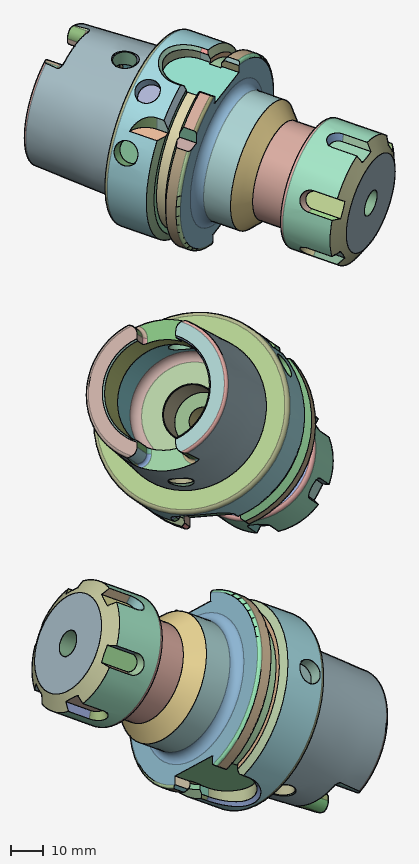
import cadquery as cq
import math


SHANK_LENGTH = 32.0
SHANK_END_RADIUS = 22.74
SHANK_BASE_RADIUS = 24.3
SHANK_END_ROUND = 1.0

FLANGE_RADIUS = 31.51
FLANGE_WIDTH = 25.8
FLANGE_END_X = SHANK_LENGTH + FLANGE_WIDTH
FLANGE_FRONT_ROUND = 1.3
FLANGE_BACK_ROUND = 1.0
GROOVE_RADIUS = 27.5
GROOVE_START_X = 48.0
GROOVE_END_X = 51.9
GROOVE_BEVEL_WIDTH = 1.4
GROOVE_BEVEL_DEPTH = GROOVE_BEVEL_WIDTH * math.tan(math.radians(60))

COLLAR_RADIUS = 21.03
COLLAR_FILLET = 3.0
COLLAR_END_X = 70.0
NECK_RADIUS = 16
NECK_START_X = COLLAR_END_X + COLLAR_RADIUS - NECK_RADIUS

NUT_START_X = 86.6
NUT_END_X = 107
NUT_RADIUS = 21.03
NUT_FACE_RADIUS = 16
NUT_ROUND = 1.3
NUT_CONE_LENGTH = 3.0
NUT_SLOT_COUNT = 6
NUT_SLOT_FLOOR_HALF_WIDTH = 2.8
NUT_SLOT_ARC_X = 95.9
NUT_SLOT_FLOOR_RADIUS = 18.2
NUT_SLOT_DRAFT = 15

BORE_RADIUS = 16.8
BORE_CHAMFER = 0.5
UNDERCUT_START_X = 12.6
UNDERCUT_RADIUS = 18.5
BORE_FLOOR_X = SHANK_LENGTH
BORE_FLOOR_FILLET = UNDERCUT_RADIUS - 15.7
COUNTERBORE_RADIUS = 8.8
COUNTERBORE_DEPTH = 10.7
COUNTERBORE_CHAMFER = 0.2
THROUGH_RADIUS = 4.2

TOP_SLOT_DEPTH = 6.2
BOTTOM_SLOT_DEPTH = 10.1
SLOT_HALF_WIDTH = 6.2
SLOT_EDGE_ROUND = 3.0
SLOT_STRAIGHT_TOP = 17.7
SLOT_SHOULDER_HEIGHT = SLOT_STRAIGHT_TOP + SLOT_EDGE_ROUND
SLOT_FLARE_HALF_WIDTH = 12.8
SLOT_FLOOR_FILLET = 1.2

CROSS_HOLE_X = 22.9
CROSS_HOLE_RADIUS = 3.7
CROSS_HOLE_SINK_RADIUS = 4.3
CROSS_HOLE_SINK_HEIGHT = 23.9

TOP_POCKET_FLOOR_HEIGHT = 26.5
TOP_POCKET_HALF_WIDTH = 7.9
BOTTOM_POCKET_FLOOR_HEIGHT = 26.1
BOTTOM_POCKET_HALF_WIDTH = 9.0
POCKET_ARC_X = 44.6
POCKET_CHAMFER = 1.2

NOTCH_OFFSET = 19.85
NOTCH_CUTTER_RADIUS = 7.5
NOTCH_ARC_X = 44.2

RIM_HOLE_X = 38.0
RIM_HOLE_RADIUS = 4.0
RIM_HOLE_DEPTH = 4.3
RIM_HOLE_ANGLES = (116.5, 153.5, 0)

OVERSHOOT = 5.4
CROSS_HOLE_OVERSHOOT = 1.1
TOLERANCE = 0.01


def cylinder_x(radius, start_x, end_x):
    return cq.Workplane("YZ", origin=(start_x, 0, 0)).circle(radius).extrude(end_x - start_x)


def about_x(shape, angle):
    return shape.rotate((0, 0, 0), (1, 0, 0), angle)


def round_rim(body, x, radius, size):
    """Rounds the circular edges of the given radius that lie at x."""
    edges = [
        edge for edge in body.edges("%CIRCLE").vals()
        if abs(edge.Center().x - x) < TOLERANCE and abs(edge.radius() - radius) < TOLERANCE
    ]
    return body.newObject(edges).fillet(size)


def holder_blank():
    rim_low_radius = FLANGE_RADIUS - GROOVE_BEVEL_DEPTH
    collar_start_x = FLANGE_END_X + COLLAR_FILLET
    fillet_mid = COLLAR_FILLET * (1 - math.sqrt(0.5))
    profile = (
        cq.Workplane("XY")
        .lineTo(0, SHANK_END_RADIUS)
        .lineTo(SHANK_LENGTH, SHANK_BASE_RADIUS)
        .lineTo(SHANK_LENGTH, FLANGE_RADIUS)
        .lineTo(GROOVE_START_X - GROOVE_BEVEL_WIDTH, FLANGE_RADIUS)
        .lineTo(GROOVE_START_X, rim_low_radius)
        .lineTo(GROOVE_START_X, GROOVE_RADIUS)
        .lineTo(GROOVE_END_X, GROOVE_RADIUS)
        .lineTo(GROOVE_END_X, rim_low_radius)
        .lineTo(GROOVE_END_X + GROOVE_BEVEL_WIDTH, FLANGE_RADIUS)
        .lineTo(FLANGE_END_X, FLANGE_RADIUS)
        .lineTo(FLANGE_END_X, COLLAR_RADIUS + COLLAR_FILLET)
        .threePointArc(
            (FLANGE_END_X + fillet_mid, COLLAR_RADIUS + fillet_mid),
            (collar_start_x, COLLAR_RADIUS),
        )
        .lineTo(COLLAR_END_X, COLLAR_RADIUS)
        .lineTo(NECK_START_X, NECK_RADIUS)
        .lineTo(NUT_START_X, NECK_RADIUS)
        .lineTo(NUT_START_X, 0)
        .close()
    )
    blank = profile.revolve(360, (0, 0, 0), (1, 0, 0))
    blank = round_rim(blank, 0, SHANK_END_RADIUS, SHANK_END_ROUND)
    blank = round_rim(blank, SHANK_LENGTH, FLANGE_RADIUS, FLANGE_FRONT_ROUND)
    return round_rim(blank, FLANGE_END_X, FLANGE_RADIUS, FLANGE_BACK_ROUND)


def axial_bore():
    fillet_start_x = BORE_FLOOR_X - BORE_FLOOR_FILLET
    fillet_mid = BORE_FLOOR_FILLET * math.sqrt(0.5)
    counterbore_end_x = BORE_FLOOR_X + COUNTERBORE_DEPTH
    profile = (
        cq.Workplane("XY")
        .lineTo(0, BORE_RADIUS + BORE_CHAMFER)
        .lineTo(BORE_CHAMFER, BORE_RADIUS)
        .lineTo(UNDERCUT_START_X, BORE_RADIUS)
        .lineTo(UNDERCUT_START_X, UNDERCUT_RADIUS)
        .lineTo(fillet_start_x, UNDERCUT_RADIUS)
        .threePointArc(
            (fillet_start_x + fillet_mid, UNDERCUT_RADIUS - BORE_FLOOR_FILLET + fillet_mid),
            (BORE_FLOOR_X, UNDERCUT_RADIUS - BORE_FLOOR_FILLET),
        )
        .lineTo(BORE_FLOOR_X, COUNTERBORE_RADIUS + COUNTERBORE_CHAMFER)
        .lineTo(BORE_FLOOR_X + COUNTERBORE_CHAMFER, COUNTERBORE_RADIUS)
        .lineTo(counterbore_end_x, COUNTERBORE_RADIUS)
        .lineTo(counterbore_end_x, THROUGH_RADIUS)
        .lineTo(NUT_START_X, THROUGH_RADIUS)
        .lineTo(NUT_START_X, 0)
        .close()
    )
    return profile.revolve(360, (0, 0, 0), (1, 0, 0))


def drive_slot(depth):
    """Slot on the +Z side whose walls curve outwards above the bore, with a filleted floor."""
    arc_y = SLOT_HALF_WIDTH + SLOT_EDGE_ROUND
    arc_mid_y = arc_y - SLOT_EDGE_ROUND * math.sqrt(0.5)
    arc_mid_z = SLOT_STRAIGHT_TOP + SLOT_EDGE_ROUND * math.sqrt(0.5)
    outer_z = SHANK_BASE_RADIUS + OVERSHOOT
    profile = (
        cq.Workplane("YZ")
        .moveTo(-SLOT_HALF_WIDTH, 0)
        .lineTo(-SLOT_HALF_WIDTH, SLOT_STRAIGHT_TOP)
        .threePointArc((-arc_mid_y, arc_mid_z), (-arc_y, SLOT_SHOULDER_HEIGHT))
        .lineTo(-SLOT_FLARE_HALF_WIDTH, SLOT_SHOULDER_HEIGHT)
        .lineTo(-SLOT_FLARE_HALF_WIDTH, outer_z)
        .lineTo(SLOT_FLARE_HALF_WIDTH, outer_z)
        .lineTo(SLOT_FLARE_HALF_WIDTH, SLOT_SHOULDER_HEIGHT)
        .lineTo(arc_y, SLOT_SHOULDER_HEIGHT)
        .threePointArc((arc_mid_y, arc_mid_z), (SLOT_HALF_WIDTH, SLOT_STRAIGHT_TOP))
        .lineTo(SLOT_HALF_WIDTH, 0)
        .close()
    )
    slot = profile.extrude(depth)
    wall_edges = slot.faces(">X").edges("(not <Z) and (not >Z) and (not <Y) and (not >Y)")
    return wall_edges.fillet(SLOT_FLOOR_FILLET)


def cross_hole():
    """Hole along Z through both shank walls, widening at the shank surface."""
    sink_z = CROSS_HOLE_SINK_HEIGHT - (CROSS_HOLE_SINK_RADIUS - CROSS_HOLE_RADIUS)
    outer_z = SHANK_BASE_RADIUS + CROSS_HOLE_OVERSHOOT
    outer_radius = CROSS_HOLE_RADIUS + outer_z - sink_z
    profile = (
        cq.Workplane("XZ", origin=(CROSS_HOLE_X, 0, 0))
        .moveTo(0, -outer_z)
        .lineTo(outer_radius, -outer_z)
        .lineTo(CROSS_HOLE_RADIUS, -sink_z)
        .lineTo(CROSS_HOLE_RADIUS, sink_z)
        .lineTo(outer_radius, outer_z)
        .lineTo(0, outer_z)
        .close()
    )
    return profile.revolve(360, (0, 0, 0), (0, 1, 0))


def round_end_slot(arc_x, half_width, end_x, floor_z, top_z, draft=0):
    """Slot cutter along X with a half-round left end, open at end_x; draft widens it upwards."""
    return (
        cq.Workplane("XY", origin=(0, 0, floor_z))
        .moveTo(end_x, -half_width)
        .lineTo(arc_x, -half_width)
        .threePointArc((arc_x - half_width, 0), (arc_x, half_width))
        .lineTo(end_x, half_width)
        .close()
        .extrude(top_z - floor_z, taper=-draft)
    )


def drive_pocket(half_width, floor_height):
    """Cutter for a flat pocket on the +Z side, with a chamfer where its wall meets the flange rim."""
    end_x = FLANGE_END_X + OVERSHOOT
    pocket = round_end_slot(POCKET_ARC_X, half_width, end_x, floor_height, FLANGE_RADIUS + OVERSHOOT)
    plain_flange = cylinder_x(FLANGE_RADIUS, SHANK_LENGTH, end_x)
    pocketed_flange = plain_flange.cut(pocket)

    def is_pocket_rim(edge):
        middle = edge.positionAt(0.5)
        on_rim = abs(math.hypot(middle.y, middle.z) - FLANGE_RADIUS) < TOLERANCE
        between_ends = SHANK_LENGTH + TOLERANCE < middle.x < end_x - TOLERANCE
        return on_rim and between_ends and middle.z > floor_height

    rim_edges = [edge for edge in pocketed_flange.edges().vals() if is_pocket_rim(edge)]
    return plain_flange.cut(pocketed_flange.newObject(rim_edges).chamfer(POCKET_CHAMFER))


def corner_notch():
    """L-shaped step: floor at z = NOTCH_OFFSET, wall at y = -NOTCH_OFFSET, rounded left end."""
    outer = FLANGE_RADIUS + OVERSHOOT
    arc_y = -NOTCH_OFFSET - NOTCH_CUTTER_RADIUS
    arc_reach = NOTCH_CUTTER_RADIUS * math.sqrt(0.5)
    return (
        cq.Workplane("XY", origin=(0, 0, NOTCH_OFFSET))
        .moveTo(FLANGE_END_X, -NOTCH_OFFSET)
        .lineTo(NOTCH_ARC_X, -NOTCH_OFFSET)
        .threePointArc(
            (NOTCH_ARC_X - arc_reach, arc_y + arc_reach),
            (NOTCH_ARC_X - NOTCH_CUTTER_RADIUS, arc_y),
        )
        .lineTo(NOTCH_ARC_X - NOTCH_CUTTER_RADIUS, -outer)
        .lineTo(FLANGE_END_X, -outer)
        .close()
        .extrude(outer - NOTCH_OFFSET)
    )


def rim_hole(angle):
    hole = cq.Workplane("XZ", origin=(RIM_HOLE_X, FLANGE_RADIUS + OVERSHOOT, 0))
    hole = hole.circle(RIM_HOLE_RADIUS).extrude(RIM_HOLE_DEPTH + OVERSHOOT)
    return about_x(hole, angle)


def make_holder():
    holder = holder_blank().cut(axial_bore()).cut(cross_hole())
    holder = holder.cut(drive_pocket(TOP_POCKET_HALF_WIDTH, TOP_POCKET_FLOOR_HEIGHT))
    bottom_pocket = drive_pocket(BOTTOM_POCKET_HALF_WIDTH, BOTTOM_POCKET_FLOOR_HEIGHT)
    holder = holder.cut(about_x(bottom_pocket, 180))
    holder = holder.cut(corner_notch())
    for angle in RIM_HOLE_ANGLES:
        holder = holder.cut(rim_hole(angle))
    holder = holder.cut(drive_slot(TOP_SLOT_DEPTH))
    return holder.cut(about_x(drive_slot(BOTTOM_SLOT_DEPTH), 180))


def make_nut():
    nut = cylinder_x(NUT_RADIUS, NUT_START_X, NUT_END_X)
    nut = nut.faces(">X").chamfer(NUT_CONE_LENGTH, NUT_RADIUS - NUT_FACE_RADIUS)
    nut = nut.faces("<X").edges().fillet(NUT_ROUND)
    slot = round_end_slot(
        NUT_SLOT_ARC_X,
        NUT_SLOT_FLOOR_HALF_WIDTH,
        NUT_END_X + OVERSHOOT,
        NUT_SLOT_FLOOR_RADIUS,
        NUT_RADIUS + OVERSHOOT,
        NUT_SLOT_DRAFT,
    )
    for index in range(NUT_SLOT_COUNT):
        nut = nut.cut(about_x(slot, index * 360 / NUT_SLOT_COUNT))
    return nut.cut(cylinder_x(THROUGH_RADIUS, NUT_START_X, NUT_END_X))


holder = make_holder()
nut = make_nut()
result = cq.Compound.makeCompound([holder.val(), nut.val()])